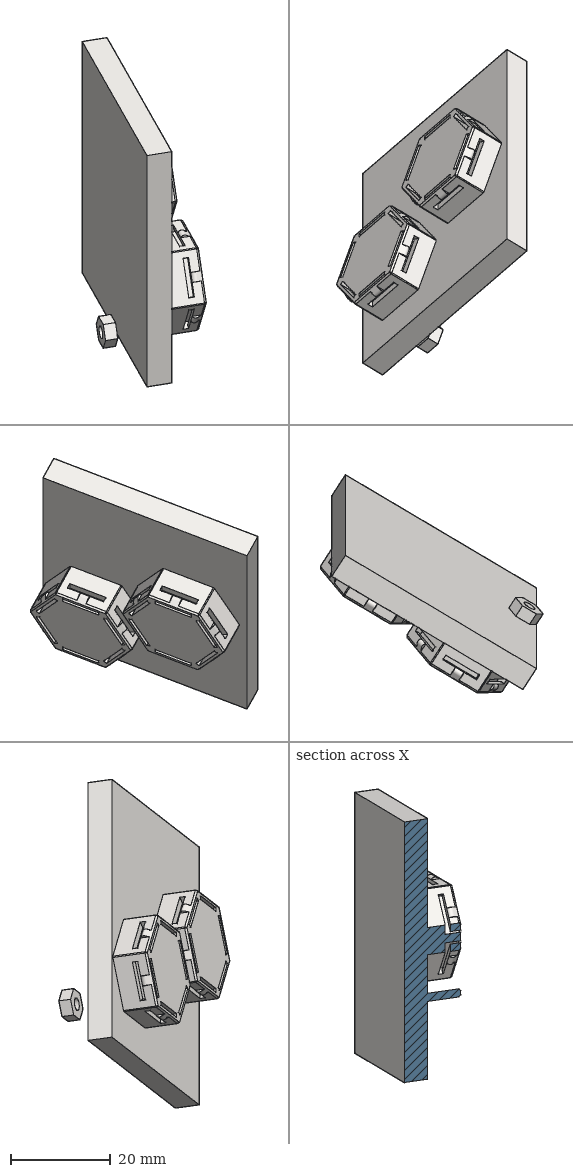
import cadquery as cq
import math

PLATE_WIDTH = 45.15
PLATE_THICKNESS = 5.2
PLATE_HEIGHT = 54.8

PLUG_FLATS = 19.6
PLUG_LENGTH = 7.45
PLUG_PITCH = 23.6
FIRST_PLUG_X = -9.65
FIRST_PLUG_Z = 1.65
CORNER_CHAMFER = 0.15
LEAD_IN_LENGTH = 0.45
LEAD_IN_DEPTH = 0.2

BUMP_WIDTH = 2.05
BUMP_RAMP_LENGTH = 1.25
BUMP_ROUND_SAG = 0.245
SLOT_LENGTH = 8.0
SLOT_WIDTH = 1.15
SLOT_DEPTH = 1.6
TONGUE_THICKNESS = 0.8
SLOT_FROM_END = 2.35

NUT_FLATS = 5.65
NUT_THICKNESS = 2.6
NUT_HOLE_DIAMETER = 2.5
NUT_GAP = 5.15
NUT_X = 16.1
NUT_Z = -16.95

HEX_SIDES = 6
HEX_STEP = 360 / HEX_SIDES

plug_end = PLATE_THICKNESS + PLUG_LENGTH
plug_apothem = PLUG_FLATS / 2
pitch_angle = math.radians(HEX_STEP / 2)
plug_centres = [
    (FIRST_PLUG_X, FIRST_PLUG_Z),
    (
        FIRST_PLUG_X + PLUG_PITCH * math.cos(pitch_angle),
        FIRST_PLUG_Z - PLUG_PITCH * math.sin(pitch_angle),
    ),
]


def hex_prism(flats, start_y, length):
    """Hexagonal prism along +Y, centred on X = Z = 0, with two corners on the X axis."""
    across_corners = flats / math.cos(math.radians(HEX_STEP / 2))
    return (
        cq.Workplane("XZ", origin=(0, start_y, 0))
        .polygon(HEX_SIDES, across_corners)
        .extrude(-length)
    )


def on_every_flat(shape):
    """Copies of a shape on the +Z flat, turned about Y onto all six flats."""
    return [shape.rotate((0, 0, 0), (0, 1, 0), i * HEX_STEP) for i in range(HEX_SIDES)]


def make_bump():
    """Snap bump on the +Z flat: a ramp in line with the end chamfer, then a rounded back."""
    ramp_slope = LEAD_IN_DEPTH / LEAD_IN_LENGTH
    root_z = plug_apothem - LEAD_IN_DEPTH
    crest = (plug_end - BUMP_RAMP_LENGTH, root_z + BUMP_RAMP_LENGTH * ramp_slope)
    back = (plug_end - SLOT_FROM_END, plug_apothem)
    chord_y = crest[0] - back[0]
    chord_z = crest[1] - back[1]
    chord = math.hypot(chord_y, chord_z)
    back_middle = (
        (crest[0] + back[0]) / 2 - BUMP_ROUND_SAG * chord_z / chord,
        (crest[1] + back[1]) / 2 + BUMP_ROUND_SAG * chord_y / chord,
    )
    return (
        cq.Workplane("YZ")
        .moveTo(plug_end, root_z)
        .lineTo(*crest)
        .threePointArc(back_middle, back)
        .lineTo(back[0], root_z)
        .close()
        .extrude(BUMP_WIDTH / 2, both=True)
    )


def make_slot():
    """L-shaped cutter for the +Z flat: in through the flat, then out to the end under the tongue."""
    tongue_edge_y = plug_end - SLOT_FROM_END
    tongue_under_z = plug_apothem - TONGUE_THICKNESS
    slot_floor_z = plug_apothem - SLOT_DEPTH
    return (
        cq.Workplane("YZ")
        .moveTo(tongue_edge_y, plug_apothem)
        .lineTo(tongue_edge_y, tongue_under_z)
        .lineTo(plug_end, tongue_under_z)
        .lineTo(plug_end, slot_floor_z)
        .lineTo(tongue_edge_y - SLOT_WIDTH, slot_floor_z)
        .lineTo(tongue_edge_y - SLOT_WIDTH, plug_apothem)
        .close()
        .extrude(SLOT_LENGTH / 2, both=True)
    )


def make_plug():
    """One plug, centred on X = Z = 0."""
    shank = hex_prism(PLUG_FLATS, PLATE_THICKNESS, PLUG_LENGTH - LEAD_IN_LENGTH)
    shank = shank.edges("|Y").chamfer(CORNER_CHAMFER)
    lead_in_angle = math.degrees(math.atan(LEAD_IN_DEPTH / LEAD_IN_LENGTH))
    plug = shank.faces(">Y").wires().toPending().extrude(-LEAD_IN_LENGTH, taper=lead_in_angle)
    for bump in on_every_flat(make_bump()):
        plug = plug.union(bump)
    for slot in on_every_flat(make_slot()):
        plug = plug.cut(slot)
    return plug


def make_holder():
    """Plate with its plugs."""
    holder = cq.Workplane("XY").box(PLATE_WIDTH, PLATE_THICKNESS, PLATE_HEIGHT)
    holder = holder.translate((0, PLATE_THICKNESS / 2, 0))
    plug = make_plug()
    for x, z in plug_centres:
        holder = holder.union(plug.translate((x, 0, z)))
    return holder


def make_nut():
    """Hexagonal nut with a plain through hole."""
    nut = hex_prism(NUT_FLATS, -NUT_GAP - NUT_THICKNESS, NUT_THICKNESS)
    nut = nut.faces("<Y").workplane().hole(NUT_HOLE_DIAMETER)
    return nut.translate((NUT_X, 0, NUT_Z))


holder = make_holder()
nut = make_nut()

result = cq.Compound.makeCompound([holder.val(), nut.val()])